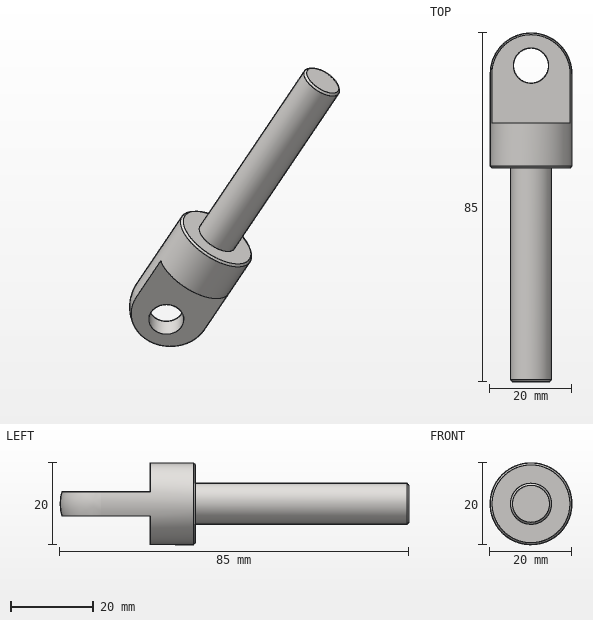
import cadquery as cq

total_length = 84.95
head_diameter = 20.0
pin_diameter = 10.0
head_back = 52.0
head_length = 11.05
eye_thickness = 5.95
hole_diameter = 8.5
hole_to_tip = 8.0
head_chamfer = 0.5
pin_chamfer = 0.5

head_radius = head_diameter / 2
pin_radius = pin_diameter / 2
dome_start = total_length - head_radius
shoulder = head_back + head_length


def turned_body():
    """Pin and domed head, revolved about the Y axis."""
    dome_mid = head_radius * 0.5 ** 0.5
    return (
        cq.Workplane("XY")
        .moveTo(0, 0)
        .lineTo(pin_radius - pin_chamfer, 0)
        .lineTo(pin_radius, pin_chamfer)
        .lineTo(pin_radius, head_back)
        .lineTo(head_radius - head_chamfer, head_back)
        .lineTo(head_radius, head_back + head_chamfer)
        .lineTo(head_radius, dome_start)
        .threePointArc((dome_mid, dome_start + dome_mid), (0, total_length))
        .close()
        .revolve(360, (0, 0, 0), (0, 1, 0))
    )


def flat_cutter(side):
    """Block that removes everything beyond one flat of the eye."""
    eye_length = total_length - shoulder
    block_height = head_radius
    return cq.Workplane("XY").box(head_diameter, eye_length, block_height).translate(
        (0, shoulder + eye_length / 2, side * (eye_thickness + block_height) / 2)
    )


def eye_hole():
    """Cross hole through both flats of the eye."""
    return (
        cq.Workplane("XY")
        .center(0, total_length - hole_to_tip)
        .circle(hole_diameter / 2)
        .extrude(eye_thickness, both=True)
    )


result = turned_body()
for side in (-1, 1):
    result = result.cut(flat_cutter(side))
result = result.cut(eye_hole())